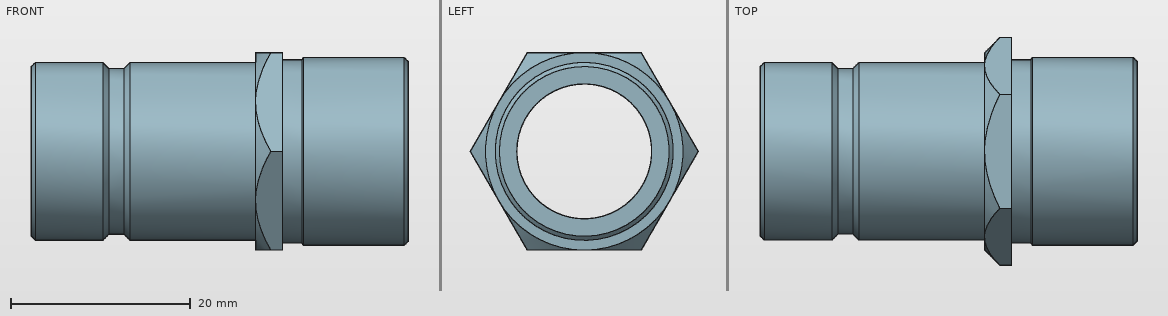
import cadquery as cq
import math

bore_diameter = 15.0
tube_diameter = 19.82
groove_diameter = 18.5
relief_diameter = 20.45
thread_diameter = 20.95
hex_across_flats = 22.0

groove_start = 8.0
groove_end = 11.0
hex_start = 25.0
hex_end = 28.0
thread_start = 30.15
total_length = 42.0

end_chamfer = 0.45
shoulder_angle = math.radians(30)

tube_radius = tube_diameter / 2
groove_radius = groove_diameter / 2
relief_radius = relief_diameter / 2
thread_radius = thread_diameter / 2
hex_flat_radius = hex_across_flats / 2
hex_corner_radius = hex_flat_radius / math.cos(math.pi / 6)
groove_depth = tube_radius - groove_radius
shoulder_length = (thread_radius - relief_radius) * math.tan(shoulder_angle)


def make_body():
    """Solid of revolution: grooved tube, relief and chamfered thread section."""
    profile = [
        (0, 0),
        (0, tube_radius - end_chamfer),
        (end_chamfer, tube_radius),
        (groove_start, tube_radius),
        (groove_start + groove_depth, groove_radius),
        (groove_end - groove_depth, groove_radius),
        (groove_end, tube_radius),
        (hex_start, tube_radius),
        (hex_start, relief_radius),
        (thread_start, relief_radius),
        (thread_start + shoulder_length, thread_radius),
        (total_length - end_chamfer, thread_radius),
        (total_length, thread_radius - end_chamfer),
        (total_length, 0),
    ]
    return cq.Workplane("XY").polyline(profile).close().revolve(360, (0, 0, 0), (1, 0, 0))


def make_hexagon():
    """Hexagon with corners on the Y axis, its tube-side corners cut by a 45 degree cone."""
    prism = (
        cq.Workplane("YZ")
        .workplane(offset=hex_start)
        .polygon(6, 2 * hex_corner_radius)
        .extrude(hex_end - hex_start)
    )
    corner_height = hex_corner_radius - hex_flat_radius
    envelope_profile = [
        (hex_start, 0),
        (hex_start, hex_flat_radius),
        (hex_start + corner_height, hex_corner_radius),
        (hex_end, hex_corner_radius),
        (hex_end, 0),
    ]
    envelope = cq.Workplane("XY").polyline(envelope_profile).close().revolve(360, (0, 0, 0), (1, 0, 0))
    return prism.intersect(envelope)


bore = cq.Workplane("YZ").circle(bore_diameter / 2).extrude(total_length)

result = make_body().union(make_hexagon()).cut(bore)